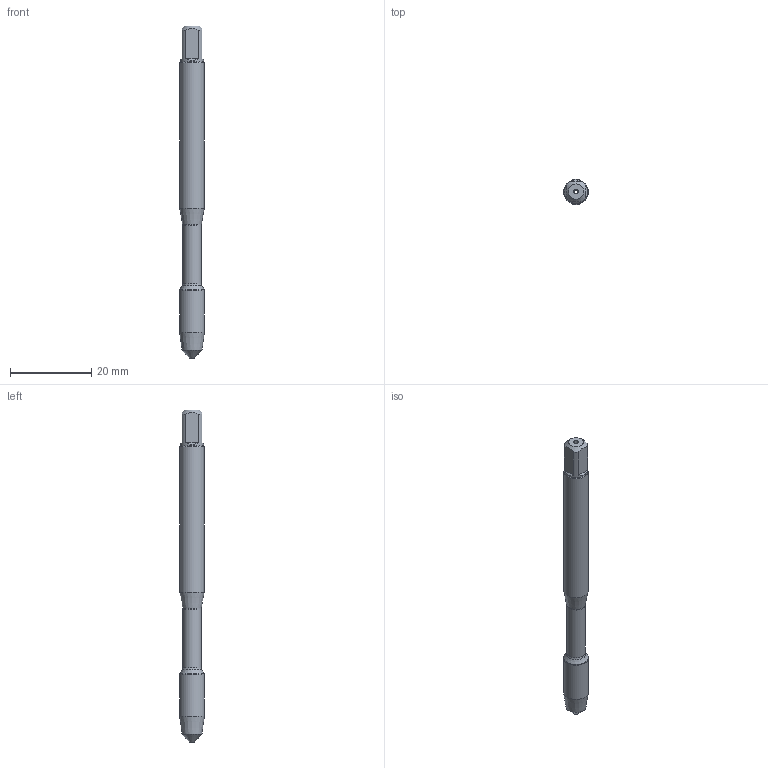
import cadquery as cq
import math

total_length = 81.64
coolant_diameter = 1.1

thread_diameter = 6.12
tip_half_angle = 45.0
lead_end_diameter = 4.9
lead_end_height = (lead_end_diameter - coolant_diameter) / 2 / math.tan(math.radians(tip_half_angle))
thread_start_height = 6.3
thread_end_height = 16.6

shank_diameter = 6.0
neck_diameter = 4.57
neck_blend_radius = 1.0
land_length = 0.2
shoulder_half_angle = 30.0
shoulder_start = thread_end_height + land_length
shoulder_length = (shank_diameter - neck_diameter) / 2 / math.tan(math.radians(shoulder_half_angle))
shoulder_end = shoulder_start + shoulder_length

shank_taper_half_angle = 10.0
shank_taper_end = 36.8
shank_taper_length = (shank_diameter - neck_diameter) / 2 / math.tan(math.radians(shank_taper_half_angle))
shank_taper_start = shank_taper_end - shank_taper_length

square_width = 4.9
square_length = 8.0
square_bottom = total_length - square_length
end_diameter = 5.76
end_length = 9.0
end_bottom = total_length - end_length
end_chamfer_length = 0.2
top_chamfer = 1.0
flat_runout_angle = 45.0


def turned(profile):
    """Revolve a closed profile of (diameter, height) points about Z."""
    points = [(diameter / 2, height) for diameter, height in profile]
    return cq.Workplane("XZ").polyline(points).close().revolve(360, (0, 0, 0), (0, 1, 0))


def make_cutting_head():
    return turned([
        (coolant_diameter, 0),
        (lead_end_diameter, lead_end_height),
        (thread_diameter, thread_start_height),
        (thread_diameter, thread_end_height),
        (coolant_diameter, thread_end_height),
    ])


def make_turned_shank():
    body = turned([
        (coolant_diameter, thread_end_height),
        (shank_diameter, thread_end_height),
        (shank_diameter, shoulder_start),
        (neck_diameter, shoulder_end),
        (neck_diameter, shank_taper_start),
        (shank_diameter, shank_taper_end),
        (shank_diameter, end_bottom),
        (end_diameter, end_bottom + end_chamfer_length),
        (end_diameter, total_length - top_chamfer),
        (end_diameter - 2 * top_chamfer, total_length),
        (coolant_diameter, total_length),
    ])
    reach = shank_diameter
    margin = 0.01
    for height in (shoulder_end, shank_taper_start):
        neck_edge = cq.selectors.BoxSelector(
            (-reach, -reach, height - margin),
            (reach, reach, height + margin),
            boundingbox=True,
        )
        body = body.edges(neck_edge).fillet(neck_blend_radius)
    return body


def make_flat_cutter():
    """Cutter for the +X flat, whose floor slopes down and outward from the flat."""
    inner = square_width / 2
    outer = shank_diameter
    runout_drop = (outer - inner) * math.tan(math.radians(flat_runout_angle))
    return (
        cq.Workplane("XZ")
        .polyline([
            (inner, square_bottom),
            (outer, square_bottom - runout_drop),
            (outer, total_length),
            (inner, total_length),
        ])
        .close()
        .extrude(shank_diameter, both=True)
    )


def make_shank():
    body = make_turned_shank()
    quarter_turn = 90
    for side in range(4):
        body = body.cut(make_flat_cutter().rotate((0, 0, 0), (0, 0, 1), quarter_turn * side))
    return body


cutting_head = make_cutting_head()
shank = make_shank()

result = cq.Compound.makeCompound([cutting_head.val(), shank.val()])